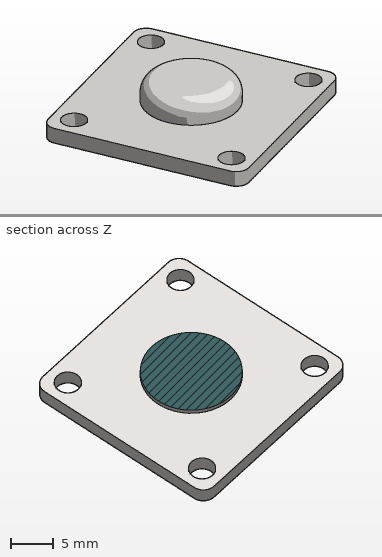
import cadquery as cq

plate_side = 26.15
plate_thickness = 2.0
corner_radius = 1.65

hole_diameter = 3.2
hole_spacing = 20.5

total_height = 5.0
boss_diameter = 12.0
boss_edge_radius = 2.0
boss_height = total_height - plate_thickness


def make_plate():
    """Rounded square plate with four through holes, its underside at Z = 0."""
    return (
        cq.Workplane("XY")
        .rect(plate_side, plate_side)
        .extrude(plate_thickness)
        .edges("|Z")
        .fillet(corner_radius)
        .faces(">Z")
        .workplane()
        .rect(hole_spacing, hole_spacing, forConstruction=True)
        .vertices()
        .hole(hole_diameter)
    )


def make_boss():
    """Cylindrical button standing on the plate, rounded around its top."""
    return (
        cq.Workplane("XY")
        .workplane(offset=plate_thickness)
        .circle(boss_diameter / 2)
        .extrude(boss_height)
        .faces(">Z")
        .edges()
        .fillet(boss_edge_radius)
    )


result = make_plate().union(make_boss())